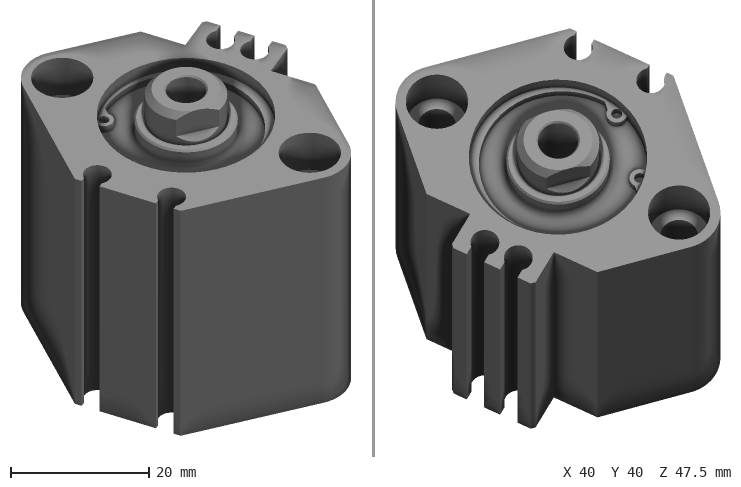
import cadquery as cq
import math

TOTAL_HEIGHT = 47.5
ROD_PROTRUSION = 5.0
BODY_HEIGHT = TOTAL_HEIGHT - ROD_PROTRUSION
BODY_WIDTH = 40.0
HALF_WIDTH = BODY_WIDTH / 2

CORNER_RADIUS = 6.0
MOUNT_OFFSET = HALF_WIDTH - CORNER_RADIUS
MOUNT_HOLE_RADIUS = 2.75
MOUNT_BORE_RADIUS = 4.5
MOUNT_BORE_DEPTH = 7.0

SHOULDER_DISTANCE = 14.3
RAIL_DISTANCE = 20.45
RAIL_WIDTH = 13.7
RAIL_CHAMFER = 0.5
SLOT_FACE_DISTANCE = 19.8

SLOT_RADIUS = 2.1
SLOT_MOUTH = 2.85
SLOT_AXIS_DISTANCE = 17.55
RAIL_SLOT_SPACING = 5.45
CORNER_SLOT_SPACING = 11.88

RAIL_ANGLE = 135
SLOT_FACE_ANGLE = -45

RECESS_RADIUS = 12.9
RECESS_DEPTH = 3.45
RECESS_FLOOR = BODY_HEIGHT - RECESS_DEPTH
BOSS_RADIUS = 7.5
BOSS_HEIGHT = 3.05
BOSS_FILLET = 1.0
BOSS_CHAMFER = 0.3
BOSS_TOP = RECESS_FLOOR + BOSS_HEIGHT
ROD_MOUTH_CHAMFER = 0.3

ROD_RADIUS = 6.0
ROD_CHAMFER = 1.0
ROD_BOTTOM = 5.0
ROD_HOLE_RADIUS = 2.95
ROD_HOLE_DEPTH = 12.0
ROD_HOLE_CHAMFER = 0.25
FLAT_WIDTH = 9.98
FLAT_LENGTH = 4.1

RING_THICKNESS = 1.25
RING_INNER_RADIUS = 12.05
RING_INNER_SHIFT = 0.6
LUG_X = 5.6
LUG_Y = -10.65
LUG_RADIUS = 1.45
LUG_HOLE_RADIUS = 0.8
LUG_EDGE_Y = -9.6
LUG_END_X = 4.7


def cylinder(radius, bottom, height, x=0.0, y=0.0):
    return cq.Workplane("XY", origin=(x, y, bottom)).circle(radius).extrude(height)


def block(x_min, x_max, y_min, y_max, bottom, height):
    plane = cq.Workplane("XY", origin=((x_min + x_max) / 2, (y_min + y_max) / 2, bottom))
    return plane.rect(x_max - x_min, y_max - y_min).extrude(height)


def diagonal_block(angle, near, far, width, offset=0.0):
    """Full-height block from near to far along a diagonal, shifted sideways by offset."""
    straight = block(near, far, offset - width / 2, offset + width / 2, 0, BODY_HEIGHT)
    return straight.rotate((0, 0, 0), (0, 0, 1), angle)


def sensor_slots(angle, spacing):
    """Pair of full-height slots opening outwards across a diagonal."""
    angle_rad = math.radians(angle)
    slots = cq.Workplane("XY")
    for offset in (-spacing / 2, spacing / 2):
        x = SLOT_AXIS_DISTANCE * math.cos(angle_rad) - offset * math.sin(angle_rad)
        y = SLOT_AXIS_DISTANCE * math.sin(angle_rad) + offset * math.cos(angle_rad)
        slots = slots.union(cylinder(SLOT_RADIUS, 0, BODY_HEIGHT, x, y))
        slots = slots.union(diagonal_block(angle, SLOT_AXIS_DISTANCE, BODY_WIDTH, SLOT_MOUTH, offset))
    return slots


def make_profile():
    body = cq.Workplane("XY").rect(BODY_WIDTH, BODY_WIDTH).extrude(BODY_HEIGHT)
    rounded_corners = cq.selectors.SumSelector(
        cq.selectors.NearestToPointSelector((HALF_WIDTH, HALF_WIDTH, BODY_HEIGHT / 2)),
        cq.selectors.NearestToPointSelector((-HALF_WIDTH, -HALF_WIDTH, BODY_HEIGHT / 2)),
    )
    body = body.edges("|Z").edges(rounded_corners).fillet(CORNER_RADIUS)
    for angle, distance in ((RAIL_ANGLE, SHOULDER_DISTANCE), (SLOT_FACE_ANGLE, SLOT_FACE_DISTANCE)):
        body = body.cut(diagonal_block(angle, distance, BODY_WIDTH, 2 * BODY_WIDTH))

    rail = block(0, RAIL_DISTANCE, -RAIL_WIDTH / 2, RAIL_WIDTH / 2, 0, BODY_HEIGHT)
    rail = rail.edges("|Z and >X").chamfer(RAIL_CHAMFER)
    body = body.union(rail.rotate((0, 0, 0), (0, 0, 1), RAIL_ANGLE))
    body = body.cut(sensor_slots(RAIL_ANGLE, RAIL_SLOT_SPACING))
    return body.cut(sensor_slots(SLOT_FACE_ANGLE, CORNER_SLOT_SPACING))


def cut_mounting_holes(body):
    for offset in (-MOUNT_OFFSET, MOUNT_OFFSET):
        bore_floor = BODY_HEIGHT - MOUNT_BORE_DEPTH
        body = body.cut(cylinder(MOUNT_HOLE_RADIUS, 0, BODY_HEIGHT, offset, offset))
        body = body.cut(cylinder(MOUNT_BORE_RADIUS, bore_floor, MOUNT_BORE_DEPTH, offset, offset))
    return body


def make_boss():
    """Boss with a chamfered rim and a concave fillet at its foot."""
    arc_middle = BOSS_FILLET * (1 - math.sqrt(0.5))
    return (
        cq.Workplane("XZ")
        .moveTo(0, RECESS_FLOOR)
        .lineTo(BOSS_RADIUS + BOSS_FILLET, RECESS_FLOOR)
        .threePointArc(
            (BOSS_RADIUS + arc_middle, RECESS_FLOOR + arc_middle),
            (BOSS_RADIUS, RECESS_FLOOR + BOSS_FILLET),
        )
        .lineTo(BOSS_RADIUS, BOSS_TOP - BOSS_CHAMFER)
        .lineTo(BOSS_RADIUS - BOSS_CHAMFER, BOSS_TOP)
        .lineTo(0, BOSS_TOP)
        .close()
        .revolve(360, (0, 0, 0), (0, 1, 0))
    )


def rod_mouth_chamfer():
    """Cone that opens the top of the rod bore."""
    bottom = BOSS_TOP - ROD_MOUTH_CHAMFER
    cone = cq.Solid.makeCone(
        ROD_RADIUS, ROD_RADIUS + ROD_MOUTH_CHAMFER, ROD_MOUTH_CHAMFER, pnt=cq.Vector(0, 0, bottom)
    )
    return cq.Workplane(cone)


def make_housing():
    body = cut_mounting_holes(make_profile())
    body = body.cut(cylinder(RECESS_RADIUS, RECESS_FLOOR, RECESS_DEPTH))
    body = body.union(make_boss())
    body = body.cut(cylinder(ROD_RADIUS, ROD_BOTTOM, BODY_HEIGHT))
    return body.cut(rod_mouth_chamfer())


def flat_cutter():
    """Removes one wrench flat on +X, ending below in a 45 degree run-out."""
    flat_x = FLAT_WIDTH / 2
    flat_bottom = TOTAL_HEIGHT - FLAT_LENGTH
    run_out = 2 * (ROD_RADIUS - flat_x)
    return (
        cq.Workplane("XZ")
        .moveTo(flat_x, flat_bottom)
        .lineTo(flat_x + run_out, flat_bottom - run_out)
        .lineTo(flat_x + run_out, TOTAL_HEIGHT)
        .lineTo(flat_x, TOTAL_HEIGHT)
        .close()
        .extrude(ROD_RADIUS, both=True)
    )


def make_rod():
    rod = cylinder(ROD_RADIUS, ROD_BOTTOM, TOTAL_HEIGHT - ROD_BOTTOM)
    rod = rod.faces(">Z").chamfer(ROD_CHAMFER)
    rod = rod.cut(cylinder(ROD_HOLE_RADIUS, TOTAL_HEIGHT - ROD_HOLE_DEPTH, ROD_HOLE_DEPTH))
    rod = rod.faces(">Z").edges(cq.selectors.RadiusNthSelector(0)).chamfer(ROD_HOLE_CHAMFER)
    flat = flat_cutter()
    return rod.cut(flat).cut(flat.mirror("YZ"))


def make_ring():
    outer = cylinder(RECESS_RADIUS, RECESS_FLOOR, RING_THICKNESS)
    inner = cylinder(RING_INNER_RADIUS, RECESS_FLOOR, RING_THICKNESS, 0, -RING_INNER_SHIFT)
    lower_part = block(
        -RECESS_RADIUS, RECESS_RADIUS, -RECESS_RADIUS, LUG_EDGE_Y, RECESS_FLOOR, RING_THICKNESS
    )
    ring = outer.cut(inner).cut(lower_part)

    lug = block(LUG_END_X, RECESS_RADIUS, -RECESS_RADIUS, LUG_EDGE_Y, RECESS_FLOOR, RING_THICKNESS)
    lug = lug.union(cylinder(LUG_RADIUS, RECESS_FLOOR, RING_THICKNESS, LUG_X, LUG_Y))
    lug = lug.intersect(outer)
    lug = lug.cut(cylinder(LUG_HOLE_RADIUS, RECESS_FLOOR, RING_THICKNESS, LUG_X, LUG_Y))
    return ring.union(lug).union(lug.mirror("YZ"))


housing = make_housing()
rod = make_rod()
ring = make_ring()

result = cq.Compound.makeCompound([body.solids().val() for body in (housing, rod, ring)])